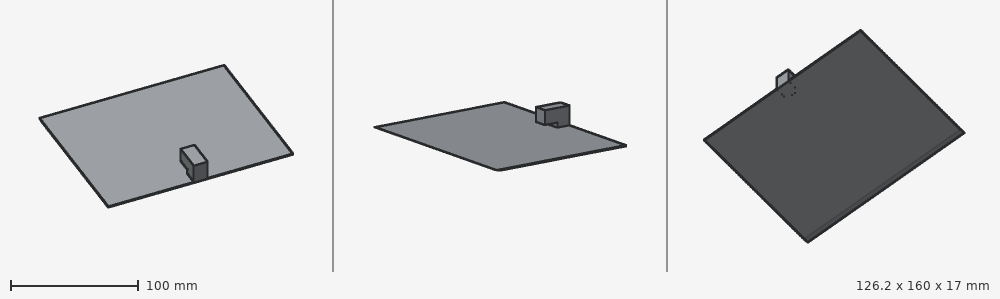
import cadquery as cq

plate_width = 126.2
plate_length = 160.0
total_height = 17.0
plate_thickness = 1.0
bevel_run = 5.0

block_width = 12.0
arm_length = 24.0
arm_height = 12.0
post_length = 12.0

arm_underside = total_height - arm_height


def make_plate():
    """Sheet with one bevelled edge, centred on Y."""
    section = [
        (0, plate_thickness),
        (plate_width, plate_thickness),
        (plate_width, 0),
        (bevel_run, 0),
    ]
    return cq.Workplane("XZ").polyline(section).close().extrude(plate_length / 2, both=True)


def make_hook():
    """Upright post with an arm overhanging the plate toward -X."""
    arm_tip = plate_width - arm_length
    post_face = plate_width - post_length
    section = [
        (post_face, plate_thickness),
        (plate_width, plate_thickness),
        (plate_width, total_height),
        (arm_tip, total_height),
        (arm_tip, arm_underside),
        (post_face, arm_underside),
    ]
    return cq.Workplane("XZ").polyline(section).close().extrude(block_width / 2, both=True)


result = make_plate().union(make_hook())